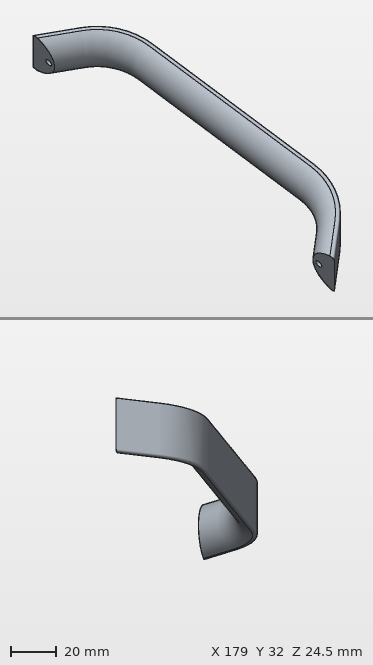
import cadquery as cq
import math

length = 179.0
height = 32.0
width = 24.5

thickness = 10.4
side_depth = 2.1
edge_radius = 0.9

bend_radius = 35.8
leg_angle = math.radians(54)

hole_diameter = 3.4
hole_depth = 7.2
drill_tip_angle = math.radians(118)
hole_inset = 9.3

back_y = height / 2
foot_y = -height / 2
bend_drop = bend_radius * (1 - math.cos(leg_angle))
leg_run = (height - bend_drop) / math.tan(leg_angle)
bend_run = bend_radius * math.sin(leg_angle)
straight_half = length / 2 - leg_run - bend_run
leg_overrun = thickness


def make_path():
    """Outer-face centreline from the middle of the bar past the right foot."""
    half_angle = leg_angle / 2
    bend_center_y = back_y - bend_radius
    bend_middle = (
        straight_half + bend_radius * math.sin(half_angle),
        bend_center_y + bend_radius * math.cos(half_angle),
    )
    bend_end = (straight_half + bend_run, back_y - bend_drop)
    leg_end = (
        length / 2 + leg_overrun / math.tan(leg_angle),
        foot_y - leg_overrun,
    )
    return (
        cq.Workplane("XY")
        .moveTo(0, back_y)
        .lineTo(straight_half, back_y)
        .threePointArc(bend_middle, bend_end)
        .lineTo(*leg_end)
    )


def make_half_bar():
    """Sweep the D section, then cut the leg flush with the mounting plane."""
    half_width = width / 2
    corner_offset = edge_radius * (1 - math.sqrt(0.5))
    flat_half = half_width - edge_radius
    section = (
        cq.Workplane("YZ")
        .moveTo(back_y, -flat_half)
        .lineTo(back_y, flat_half)
        .threePointArc(
            (back_y - corner_offset, half_width - corner_offset),
            (back_y - edge_radius, half_width),
        )
        .lineTo(back_y - side_depth, half_width)
        .threePointArc((back_y - thickness, 0), (back_y - side_depth, -half_width))
        .lineTo(back_y - edge_radius, -half_width)
        .threePointArc(
            (back_y - corner_offset, -half_width + corner_offset),
            (back_y, -flat_half),
        )
        .close()
    )
    bar = section.sweep(make_path())
    envelope = cq.Workplane("XY").box(2 * length, height, 2 * width)
    return bar.intersect(envelope)


def make_hole():
    """Drilled blind hole with a conical end, rising from the right foot, square to the mounting plane."""
    radius = hole_diameter / 2
    tip_length = radius / math.tan(drill_tip_angle / 2)
    return (
        cq.Workplane("XY", origin=(length / 2 - hole_inset, foot_y, 0))
        .lineTo(radius, 0)
        .lineTo(radius, hole_depth)
        .lineTo(0, hole_depth + tip_length)
        .close()
        .revolve(360, (0, 0, 0), (0, 1, 0))
    )


half_handle = make_half_bar().cut(make_hole())
result = half_handle.union(half_handle.mirror("YZ"))